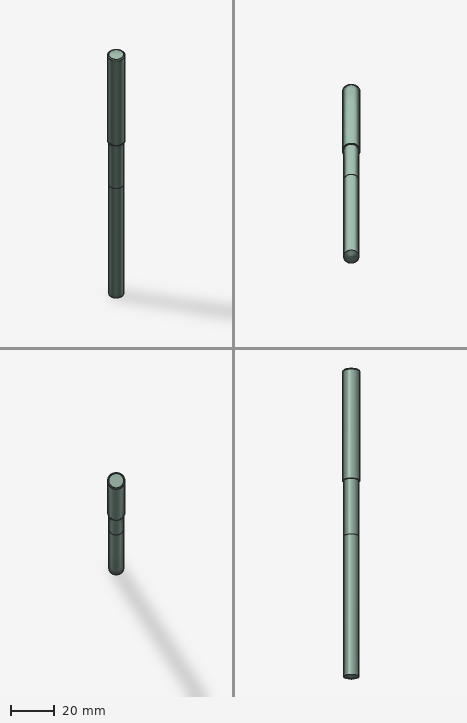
import cadquery as cq
import math

total_length = 148.2
shank_diameter = 8.0
shank_length = 52.9
shank_chamfer = 0.6
drill_diameter = 7.0
cutting_length = 68.6
point_angle = 140.0

shank_radius = shank_diameter / 2
drill_radius = drill_diameter / 2
point_height = drill_radius / math.tan(math.radians(point_angle / 2))
shank_bottom = total_length - shank_length
neck_length = shank_bottom - cutting_length


def make_cutting_part():
    """Cylindrical cutting length with a conical drill point."""
    half_profile = (
        cq.Workplane("XZ")
        .moveTo(0, 0)
        .lineTo(drill_radius, point_height)
        .lineTo(drill_radius, cutting_length)
        .lineTo(0, cutting_length)
        .close()
    )
    return half_profile.revolve(360, (0, 0, 0), (0, 1, 0))


def make_holder():
    """Neck of the drill diameter below a thicker shank with a chamfered top."""
    shank = (
        cq.Workplane("XY", origin=(0, 0, shank_bottom))
        .circle(shank_radius)
        .extrude(shank_length)
        .faces(">Z")
        .chamfer(shank_chamfer)
    )
    neck = (
        cq.Workplane("XY", origin=(0, 0, cutting_length))
        .circle(drill_radius)
        .extrude(neck_length)
    )
    return shank.union(neck)


cutting_part = make_cutting_part()
holder = make_holder()

result = cq.Compound.makeCompound([cutting_part.val(), *holder.solids().vals()])